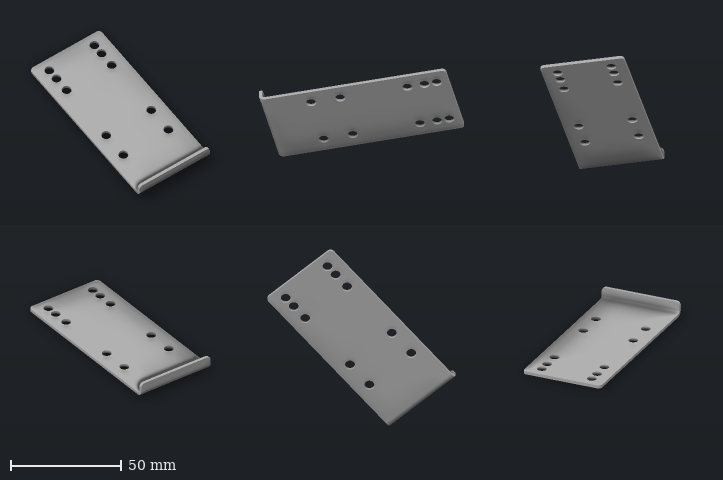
import cadquery as cq

length = 87.0
width = 39.0
height = 7.0
thickness = 1.5

inner_bend_radius = 1.5
outer_bend_radius = inner_bend_radius + thickness
corner_radius = 2.0

hole_diameter = 4.5
hole_row_spacing = 25.0
hole_distances = (5.7, 11.4, 19.4, 50.7, 64.3)


def bent_sheet():
    """L-shaped sheet profile, extruded symmetrically across the width."""
    profile = (
        cq.Workplane("XZ")
        .lineTo(length - outer_bend_radius, 0)
        .radiusArc((length, outer_bend_radius), -outer_bend_radius)
        .lineTo(length, height)
        .lineTo(length - thickness, height)
        .lineTo(length - thickness, outer_bend_radius)
        .radiusArc((length - outer_bend_radius, thickness), inner_bend_radius)
        .lineTo(0, thickness)
        .close()
    )
    return profile.extrude(width / 2, both=True)


def round_free_corners(sheet):
    """Round the corners at the free end and at the top of the flange."""
    sheet = sheet.faces("<X").edges("|Z").fillet(corner_radius)
    return sheet.faces(">Z").edges("|X").fillet(corner_radius)


def hole_cutters():
    """Cylinders passing through the flat plate."""
    centers = [
        (x, side * hole_row_spacing / 2)
        for x in hole_distances
        for side in (-1, 1)
    ]
    return (
        cq.Workplane("XY")
        .pushPoints(centers)
        .circle(hole_diameter / 2)
        .extrude(thickness)
    )


result = round_free_corners(bent_sheet()).cut(hole_cutters())